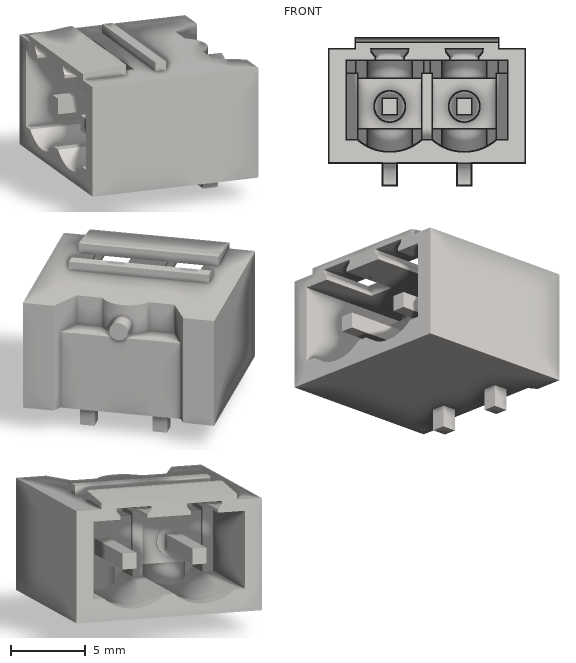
import cadquery as cq


WIDTH = 13.2
DEPTH = 12.0
HEIGHT = 7.68

PITCH = 5.0
CONTACT_XS = (-PITCH / 2, PITCH / 2)

CAVITY_WIDTH = 10.82
CAVITY_FLOOR_Z = 1.56
CAVITY_TOP_Z = 6.89
CAVITY_DEPTH = 8.58
SCALLOP_WIDTH = 4.29
SCALLOP_DROP = 0.8

PANEL_WIDTH = 4.57
PANEL_THICKNESS = 0.26
BULGE_RADIUS = 1.5
BLOCK_LOW_Z = 2.31
BLOCK_HIGH_Z = 5.7
BLOCK_LENGTH = 1.72
RIB_TOP_Z = 6.02
RIB_LENGTH = 2.25
COLLAR_DIAMETER = 2.1
COLLAR_LENGTH = 0.13

SLOT_TOP_WIDTH = 2.5
SLOT_NECK_WIDTH = 1.93
SLOT_SHOULDER_Z = 7.47
SLOT_NECK_Z = 7.11
SLOT_LENGTH = 4.15

LATCH_WIDTH = 9.64
LIP_TOP_Z = 8.42
LIP_FRONT_Z = 8.12
LIP_RAMP_END = 2.8
LIP_LENGTH = 3.12
BAR_START = 5.27
BAR_THICKNESS = 0.75
BAR_HEIGHT = 0.63

NOTCH_OUTER_WIDTH = 8.92
NOTCH_INNER_WIDTH = 6.76
NOTCH_DEPTH = 2.05
REAR_RECESS = 0.6
LEDGE_Z = 5.55
HUMP_WIDTH = 3.2
HUMP_RISE = 0.87
PEG_DIAMETER = 1.27
PEG_Z = 6.23

PIN_WIDTH = 0.99
PIN_THICKNESS = 1.08
PIN_Z = 3.8
PIN_TIP_Y = 0.96
LEG_LENGTH = 1.5
LEG_REAR_Y = 10.52


def box(width, y_range, z_range, x_center=0.0):
    """Box centred on x_center in X and spanning the given ranges in Y and Z."""
    y_low, y_high = y_range
    z_low, z_high = z_range
    solid = cq.Workplane("XY").box(width, y_high - y_low, z_high - z_low, centered=(True, False, False))
    return solid.translate((x_center, y_low, z_low))


def front_sketch(y):
    """Workplane at depth y with positive extrusion towards the mating face, negative towards the rear."""
    return cq.Workplane("XZ", origin=(0, y, 0))


def scallop(x):
    """Rounded trough in the cavity floor below one contact."""
    half = SCALLOP_WIDTH / 2
    return (
        front_sketch(0)
        .moveTo(x - half, CAVITY_FLOOR_Z)
        .threePointArc((x, CAVITY_FLOOR_Z - SCALLOP_DROP), (x + half, CAVITY_FLOOR_Z))
        .lineTo(x + half, PIN_Z)
        .lineTo(x - half, PIN_Z)
        .close()
        .extrude(-CAVITY_DEPTH)
    )


def cavity():
    """Plug cavity, open at the mating face."""
    space = box(CAVITY_WIDTH, (0, CAVITY_DEPTH), (CAVITY_FLOOR_Z, CAVITY_TOP_Z))
    for x in CONTACT_XS:
        space = space.union(scallop(x))
    return space


def bulge(x, panel_y):
    """Upright cylinder with its axis on a panel's face, so that half of it stands out."""
    return cq.Workplane("XY").center(x, panel_y).circle(BULGE_RADIUS).extrude(CAVITY_TOP_Z)


def back_wall_features():
    """Panels, bulges, blocks, collars and ribs in front of the cavity's back wall."""
    panel_y = CAVITY_DEPTH - PANEL_THICKNESS
    block_y = panel_y - BLOCK_LENGTH
    rib_y = CAVITY_DEPTH - RIB_LENGTH
    features = cq.Workplane("XY")
    for x in CONTACT_XS:
        features = features.union(box(PANEL_WIDTH, (panel_y, CAVITY_DEPTH), (0, CAVITY_TOP_Z), x))
        features = features.union(bulge(x, panel_y))
        features = features.union(box(SCALLOP_WIDTH, (block_y, CAVITY_DEPTH), (BLOCK_LOW_Z, BLOCK_HIGH_Z), x))
        collar = front_sketch(block_y).center(x, PIN_Z).circle(COLLAR_DIAMETER / 2).extrude(COLLAR_LENGTH)
        features = features.union(collar)
    middle_rib_width = PITCH - SCALLOP_WIDTH
    side_rib_inner = (PITCH + SCALLOP_WIDTH) / 2
    side_rib_width = CAVITY_WIDTH / 2 - side_rib_inner
    side_rib_x = side_rib_inner + side_rib_width / 2
    ribs = ((0, middle_rib_width), (-side_rib_x, side_rib_width), (side_rib_x, side_rib_width))
    for x, width in ribs:
        features = features.union(box(width, (rib_y, CAVITY_DEPTH), (CAVITY_FLOOR_Z, RIB_TOP_Z), x))
    return features


def coding_slot(x):
    """Dovetail slot in the cavity roof, wider at the top."""
    top = SLOT_TOP_WIDTH / 2
    neck = SLOT_NECK_WIDTH / 2
    outline = [
        (x - neck, CAVITY_TOP_Z),
        (x - neck, SLOT_NECK_Z),
        (x - top, SLOT_SHOULDER_Z),
        (x - top, HEIGHT),
        (x + top, HEIGHT),
        (x + top, SLOT_SHOULDER_Z),
        (x + neck, SLOT_NECK_Z),
        (x + neck, CAVITY_TOP_Z),
    ]
    return front_sketch(0).polyline(outline).close().extrude(-SLOT_LENGTH)


def latch_lip():
    """Ramped lip on the roof at the mating face."""
    outline = [
        (0, HEIGHT),
        (0, LIP_FRONT_Z),
        (LIP_RAMP_END, LIP_TOP_Z),
        (LIP_LENGTH, LIP_TOP_Z),
        (LIP_LENGTH, HEIGHT),
    ]
    return cq.Workplane("YZ").polyline(outline).close().extrude(LATCH_WIDTH / 2, both=True)


def roof_bar():
    """Straight bar across the roof behind the lip."""
    return box(LATCH_WIDTH, (BAR_START, BAR_START + BAR_THICKNESS), (HEIGHT, HEIGHT + BAR_HEIGHT))


def rear_notch():
    """Flared notch in the rear edge, full height at the back and stepped to a ledge further in."""
    outer = NOTCH_OUTER_WIDTH / 2
    inner = NOTCH_INNER_WIDTH / 2
    hump = HUMP_WIDTH / 2
    floor_y = DEPTH - NOTCH_DEPTH
    flare = (
        cq.Workplane("XY")
        .moveTo(-outer, DEPTH)
        .lineTo(-inner, floor_y)
        .lineTo(-hump, floor_y)
        .threePointArc((0, floor_y + HUMP_RISE), (hump, floor_y))
        .lineTo(inner, floor_y)
        .lineTo(outer, DEPTH)
        .close()
        .extrude(HEIGHT)
    )
    ledge = box(NOTCH_OUTER_WIDTH, (floor_y, DEPTH - REAR_RECESS), (0, LEDGE_Z))
    return flare.cut(ledge)


def rear_peg():
    """Round peg reaching from the hump to the rear plane."""
    start_y = DEPTH - NOTCH_DEPTH
    return front_sketch(start_y).center(0, PEG_Z).circle(PEG_DIAMETER / 2).extrude(-NOTCH_DEPTH)


def make_pin(x):
    """Right-angled contact: a bar along Y with a leg down through the board side."""
    low_z = PIN_Z - PIN_THICKNESS / 2
    high_z = PIN_Z + PIN_THICKNESS / 2
    bar = box(PIN_WIDTH, (PIN_TIP_Y, LEG_REAR_Y), (low_z, high_z), x)
    leg = box(PIN_WIDTH, (LEG_REAR_Y - PIN_THICKNESS, LEG_REAR_Y), (-LEG_LENGTH, high_z), x)
    return bar.union(leg)


def make_housing(pins):
    """Housing with a matching passage for each pin."""
    body = box(WIDTH, (0, DEPTH), (0, HEIGHT))
    body = body.cut(cavity().cut(back_wall_features()))
    body = body.union(latch_lip()).union(roof_bar())
    for x in CONTACT_XS:
        body = body.cut(coding_slot(x))
    body = body.cut(rear_notch()).union(rear_peg())
    for pin in pins:
        body = body.cut(pin)
    return body


pins = [make_pin(x) for x in CONTACT_XS]
housing = make_housing(pins)

result = cq.Compound.makeCompound([housing.val(), *[pin.val() for pin in pins]])